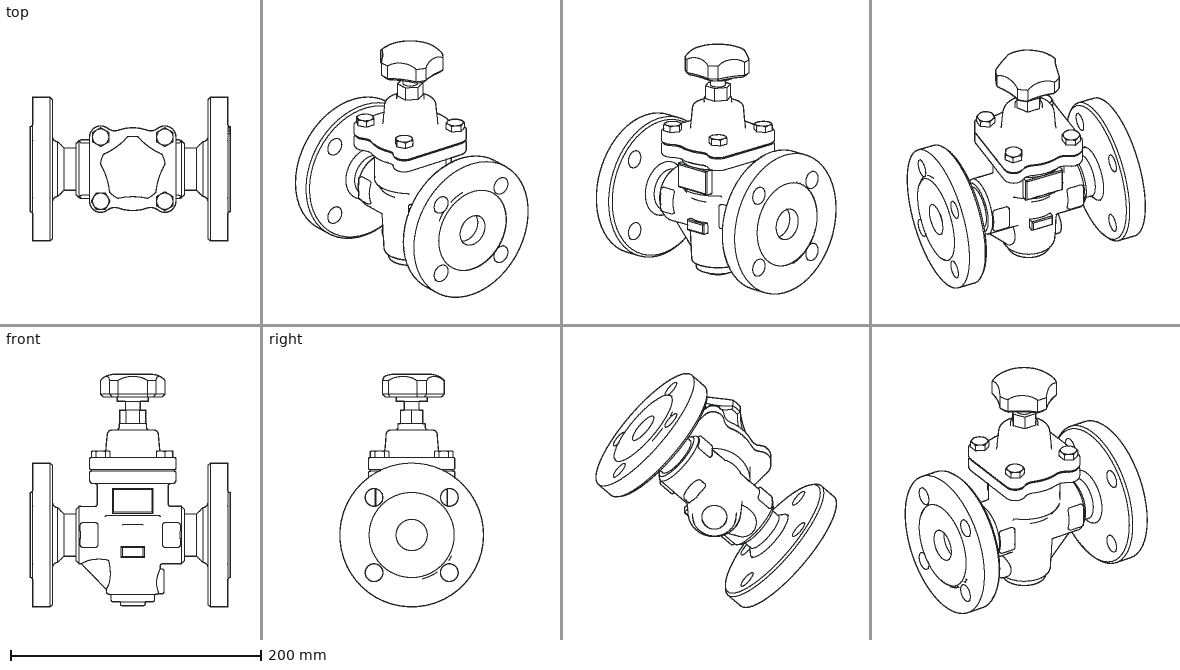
import cadquery as cq
import math

face_to_face = 160.0
flange_dia = 115.0
flange_thickness = 16.0
flange_chamfer = 2.0
raised_face_dia = 68.0
raised_face_height = 2.0
bolt_circle_dia = 85.0
flange_hole_dia = 14.0
flange_hole_count = 4
bore_dia = 25.0
bore_depth = 9.5

neck_dia = 34.0
hub_fillet = 4.0
hub_cone_length = 5.0
body_dia = 46.0
body_length = 87.0
body_chamfer = 2.7

axis_x = 2.0
level_tolerance = 0.1

column_dia = 57.0
column_cone_top = 15.4
column_cone_bottom = 8.3
column_blend = 1.5
casting_fillet = 1.5

barrel_dia = 42.0
barrel_top_dia = 46.6
barrel_bottom = -47.5
barrel_edge_fillet = 2.5
plug_dia = 35.0
plug_bottom = -53.5
plug_fillet = 2.0
plug_root_fillet = 0.9
plug_tip_dia = 20.0
plug_tip_bottom = -56.5
plug_tip_fillet = 1.4

drain_boss_dia = 20.0
drain_boss_z = -37.0
drain_boss_end = 27.0
drain_boss_fillet = 1.5

strainer_dia = 25.0
strainer_start = (-31.5, -12.9)
strainer_end = (-10.0, -35.0)

bolt_offset = 25.6
corner_radius = 9.0
bulge_radius = 33.2
valley_radius = 9.5
lower_plate_bottom = 41.0
lower_plate_top = 51.1
upper_plate_bottom = 52.2
upper_plate_top = 62.0
gasket_inset = 1.5
plate_edge_fillet = 1.4
lower_plate_fillet = 3.0
bolt_head_flats = 13.0
bolt_head_top = 67.2
bolt_head_chamfer = 0.6

dome_base_dia = 44.0
dome_shoulder_dia = 40.4
dome_top = 84.0
dome_base_fillet = 2.0
dome_top_fillet = 4.0
collar_dia = 22.0
collar_top = 89.0
collar_base_fillet = 2.0
collar_top_fillet = 0.5
nut_flats = 18.0
nut_top = 99.7
stem_dia = 12.0
wheel_hub_dia = 25.0
wheel_hub_bottom = 106.7
wheel_bottom = 110.2
wheel_top = 128.5
wheel_radius = 26.2
wheel_flat_radius = 14.8
wheel_crown_drop = 5.2
wheel_chamfer = 2.3
wheel_lobes = 5
wheel_lobe_half_angle = 9.0
wheel_valley_radius = 22.0

pad_root = 12.0
side_pad_face = 23.5
side_pad_x = 32.9
side_pad_length = 14.2
side_pad_height = 19.7
side_pad_corner = 2.0
side_pad_fillet = 1.0
name_pad_face = 29.5
name_pad_size = (32.6, 19.8)
name_pad_z = 27.2
name_pad_chamfer = 0.9
tag_pad_face = 26.0
tag_pad_size = (18.4, 8.7)
tag_pad_z = -13.6
tag_pad_chamfer = 0.9


def upright(radius, bottom, top):
    """Cylinder on the upright axis between two heights."""
    return cq.Workplane("XY", origin=(axis_x, 0, bottom)).circle(radius).extrude(top - bottom)


def fillet_root(body, height, radius):
    """Fillet the smallest circular edge lying at the given height."""
    level = cq.selectors.BoxSelector(
        (-face_to_face, -face_to_face, height - level_tolerance),
        (face_to_face, face_to_face, height + level_tolerance),
    )
    return body.edges(level).edges(cq.selectors.RadiusNthSelector(0)).fillet(radius)


def end_flange():
    """Left flange with its raised face, hub and neck, revolved about X."""
    face = -face_to_face / 2
    front = face + raised_face_height
    back = front + flange_thickness
    hub_end = back + hub_fillet
    neck_start = hub_end + hub_cone_length
    neck_r = neck_dia / 2
    hub_r = neck_r + hub_cone_length
    raised_r = raised_face_dia / 2
    flange_r = flange_dia / 2
    diagonal = math.sqrt(0.5)
    raised_mid = (face + raised_face_height * diagonal, raised_r + raised_face_height * (1 - diagonal))
    hub_mid = (hub_end - hub_fillet * diagonal, hub_r + hub_fillet * (1 - diagonal))
    profile = (
        cq.Workplane("XY")
        .moveTo(face, 0)
        .lineTo(face, raised_r)
        .threePointArc(raised_mid, (front, raised_r + raised_face_height))
        .lineTo(front, flange_r)
        .lineTo(back - flange_chamfer, flange_r)
        .lineTo(back, flange_r - flange_chamfer)
        .lineTo(back, hub_r + hub_fillet)
        .threePointArc(hub_mid, (hub_end, hub_r))
        .lineTo(neck_start, neck_r)
        .lineTo(-body_length / 2 + body_chamfer, neck_r)
        .lineTo(-body_length / 2 + body_chamfer, 0)
        .close()
    )
    flange = profile.revolve(360, (0, 0, 0), (1, 0, 0))
    bore = cq.Workplane("YZ", origin=(face, 0, 0)).circle(bore_dia / 2).extrude(bore_depth)
    holes = (
        cq.Workplane("YZ", origin=(face, 0, 0))
        .polarArray(bolt_circle_dia / 2, 45, 360, flange_hole_count)
        .circle(flange_hole_dia / 2)
        .extrude(back - face)
    )
    return flange.cut(bore).cut(holes)


def pipe_body():
    """Thick middle of the pipe run."""
    body = cq.Workplane("YZ", origin=(-body_length / 2, 0, 0)).circle(body_dia / 2).extrude(body_length)
    return body.faces("<X or >X").chamfer(body_chamfer)


def column():
    """Round column above the pipe, coned in at its foot to the barrel."""
    radius = column_dia / 2
    top = lower_plate_bottom
    diagonal = math.sqrt(0.5)
    blend_mid = (radius + column_blend * (1 - diagonal), top - column_blend * (1 - diagonal))
    profile = (
        cq.Workplane("XZ", origin=(axis_x, 0, 0))
        .moveTo(0, 0)
        .lineTo(barrel_top_dia / 2, 0)
        .lineTo(barrel_top_dia / 2, column_cone_bottom)
        .lineTo(radius, column_cone_top)
        .lineTo(radius, top - column_blend)
        .threePointArc(blend_mid, (radius + column_blend, top))
        .lineTo(0, top)
        .close()
    )
    return profile.revolve(360, (0, 0, 0), (0, 1, 0))


def barrel():
    """Tapered barrel below the pipe, closed by a stepped plug."""
    shell = (
        cq.Workplane("XZ", origin=(axis_x, 0, 0))
        .moveTo(0, 0)
        .lineTo(barrel_top_dia / 2, 0)
        .lineTo(barrel_dia / 2, barrel_bottom)
        .lineTo(0, barrel_bottom)
        .close()
        .revolve(360, (0, 0, 0), (0, 1, 0))
        .faces("<Z").edges().fillet(barrel_edge_fillet)
    )
    plug = upright(plug_dia / 2, plug_bottom, barrel_bottom).faces("<Z").edges().fillet(plug_fillet)
    tip = upright(plug_tip_dia / 2, plug_tip_bottom, plug_bottom).faces("<Z").edges().fillet(plug_tip_fillet)
    return fillet_root(shell.union(plug), barrel_bottom, plug_root_fillet).union(tip)


def drain_boss():
    """Short boss on the +X side of the barrel."""
    boss = cq.Workplane("YZ", origin=(axis_x, 0, drain_boss_z)).circle(drain_boss_dia / 2)
    return boss.extrude(drain_boss_end - axis_x).faces(">X").edges().fillet(drain_boss_fillet)


def strainer_leg():
    """Slanted cylinder from the pipe down to the foot of the barrel."""
    run = strainer_end[0] - strainer_start[0]
    drop = strainer_end[1] - strainer_start[1]
    plane = cq.Plane(origin=(strainer_start[0], 0, strainer_start[1]), xDir=(0, 1, 0), normal=(run, 0, drop))
    return cq.Workplane(plane).circle(strainer_dia / 2).extrude(math.hypot(run, drop))


def plate(bottom, top):
    """Square plate with round bolt corners and bulged front and back sides."""
    valley_reach = corner_radius + valley_radius
    bulge_reach = bulge_radius + valley_radius
    bolt_reach = math.hypot(bolt_offset, bolt_offset)
    spread = math.acos((bulge_reach**2 + bolt_reach**2 - valley_reach**2) / (2 * bulge_reach * bolt_reach))
    valley_angle = math.pi / 4 + spread
    valley_x = bulge_reach * math.cos(valley_angle)
    valley_y = bulge_reach * math.sin(valley_angle)
    bulge_x = valley_x * bulge_radius / bulge_reach
    bulge_y = valley_y * bulge_radius / bulge_reach
    corner_x = bolt_offset + (valley_x - bolt_offset) * corner_radius / valley_reach
    corner_y = bolt_offset + (valley_y - bolt_offset) * corner_radius / valley_reach
    side = bolt_offset + corner_radius
    diagonal = bolt_offset + corner_radius * math.sqrt(0.5)
    valley_low = valley_y - valley_radius
    return (
        cq.Workplane("XY", origin=(axis_x, 0, bottom))
        .moveTo(side, -bolt_offset)
        .lineTo(side, bolt_offset)
        .threePointArc((diagonal, diagonal), (corner_x, corner_y))
        .threePointArc((valley_x, valley_low), (bulge_x, bulge_y))
        .threePointArc((0, bulge_radius), (-bulge_x, bulge_y))
        .threePointArc((-valley_x, valley_low), (-corner_x, corner_y))
        .threePointArc((-diagonal, diagonal), (-side, bolt_offset))
        .lineTo(-side, -bolt_offset)
        .threePointArc((-diagonal, -diagonal), (-corner_x, -corner_y))
        .threePointArc((-valley_x, -valley_low), (-bulge_x, -bulge_y))
        .threePointArc((0, -bulge_radius), (bulge_x, -bulge_y))
        .threePointArc((valley_x, -valley_low), (corner_x, -corner_y))
        .threePointArc((diagonal, -diagonal), (side, -bolt_offset))
        .close()
        .extrude(top - bottom)
    )


def hex_prism(flats, bottom, top, x, y, turn):
    """Hexagonal prism with one corner at the given angle from +X."""
    corners = flats / math.cos(math.pi / 6)
    prism = cq.Workplane("XY").polygon(6, corners).extrude(top - bottom)
    return prism.rotate((0, 0, 0), (0, 0, 1), turn).translate((x, y, bottom))


def bolt_head(x, y, turn):
    """Hexagonal bolt head with its top corners turned off."""
    prism = hex_prism(bolt_head_flats, upper_plate_top, bolt_head_top, x, y, turn)
    corner_r = bolt_head_flats / 2 / math.cos(math.pi / 6)
    turned = (
        cq.Workplane("XY", origin=(x, y, upper_plate_top))
        .circle(corner_r)
        .extrude(bolt_head_top - upper_plate_top)
        .faces(">Z").chamfer(bolt_head_chamfer, corner_r - bolt_head_flats / 2)
    )
    return prism.intersect(turned)


def bonnet_joint():
    """Two bolted plates with a recessed gasket between them and four bolts."""
    lower = plate(lower_plate_bottom, lower_plate_top)
    lower = lower.faces(">Z").edges().fillet(plate_edge_fillet)
    lower = lower.faces("<Z").edges().fillet(lower_plate_fillet)
    upper = plate(upper_plate_bottom, upper_plate_top)
    upper = upper.faces("<Z or >Z").edges().fillet(plate_edge_fillet)
    gasket_profile = plate(lower_plate_top, upper_plate_bottom).faces("<Z").wires().toPending()
    gasket = gasket_profile.offset2D(-gasket_inset).extrude(upper_plate_bottom - lower_plate_top, combine=False)
    joint = lower.union(gasket).union(upper)
    for x_side in (-1, 1):
        for y_side in (-1, 1):
            turn = 0 if (x_side, y_side) == (-1, -1) else 30
            joint = joint.union(bolt_head(axis_x + x_side * bolt_offset, y_side * bolt_offset, turn))
    return joint


def bonnet():
    """Tapered dome with its collar, gland nut and stem."""
    base_r = dome_base_dia / 2
    blend_inset = dome_base_fillet * (1 - math.sqrt(0.5))
    dome = (
        cq.Workplane("XZ", origin=(axis_x, 0, 0))
        .moveTo(0, upper_plate_top)
        .lineTo(base_r + dome_base_fillet, upper_plate_top)
        .threePointArc(
            (base_r + blend_inset, upper_plate_top + blend_inset),
            (base_r, upper_plate_top + dome_base_fillet),
        )
        .lineTo(dome_shoulder_dia / 2, dome_top)
        .lineTo(0, dome_top)
        .close()
        .revolve(360, (0, 0, 0), (0, 1, 0))
        .faces(">Z").edges().fillet(dome_top_fillet)
    )
    collar = upright(collar_dia / 2, dome_top, collar_top).faces(">Z").edges().fillet(collar_top_fillet)
    dome = fillet_root(dome.union(collar), dome_top, collar_base_fillet)
    nut = hex_prism(nut_flats, collar_top, nut_top, axis_x, 0, 0)
    stem = upright(stem_dia / 2, nut_top, wheel_hub_bottom)
    return dome.union(nut).union(stem)


def handwheel():
    """Crowned five-lobed handwheel on a short hub."""
    rim_top = wheel_top - wheel_crown_drop
    crown_run = wheel_radius - wheel_flat_radius
    crown_radius = (crown_run**2 + wheel_crown_drop**2) / (2 * wheel_crown_drop)
    half_angle = math.asin(crown_run / crown_radius) / 2
    crown_mid = (
        wheel_flat_radius + crown_radius * math.sin(half_angle),
        wheel_top - crown_radius * (1 - math.cos(half_angle)),
    )
    blank = (
        cq.Workplane("XZ", origin=(axis_x, 0, 0))
        .moveTo(0, wheel_bottom)
        .lineTo(wheel_radius, wheel_bottom)
        .lineTo(wheel_radius, rim_top)
        .threePointArc(crown_mid, (wheel_flat_radius, wheel_top))
        .lineTo(0, wheel_top)
        .close()
        .revolve(360, (0, 0, 0), (0, 1, 0))
    )
    pitch = 360 / wheel_lobes
    edge_angle = math.radians(pitch / 2 - wheel_lobe_half_angle)
    edge_x = wheel_radius * math.sin(edge_angle)
    edge_y = wheel_radius * math.cos(edge_angle)
    depth = edge_y - wheel_valley_radius
    scoop_radius = (edge_x**2 + depth**2) / (2 * depth)
    scoop = (
        cq.Workplane("XY", origin=(0, -wheel_valley_radius - scoop_radius, wheel_bottom))
        .circle(scoop_radius)
        .extrude(wheel_top - wheel_bottom)
    )
    for lobe in range(wheel_lobes):
        cutter = scoop.rotate((0, 0, 0), (0, 0, 1), lobe * pitch).translate((axis_x, 0, 0))
        blank = blank.cut(cutter)
    blank = blank.faces("<Z").edges().chamfer(wheel_chamfer)
    return blank.union(upright(wheel_hub_dia / 2, wheel_hub_bottom, wheel_bottom))


def front_pad(size, x, z, face):
    """Block rooted inside the casting and ending in a flat face on the -Y side."""
    return cq.Workplane("XZ", origin=(x, -pad_root, z)).rect(*size).extrude(face - pad_root)


def side_pads():
    """Rounded wrench pads on both sides of the pipe body, at both ends."""
    pads = cq.Workplane("XY")
    for x in (-side_pad_x, side_pad_x):
        pad = (
            front_pad((side_pad_length, side_pad_height), x, 0, side_pad_face)
            .edges("|Y").fillet(side_pad_corner)
            .faces("<Y").edges().fillet(side_pad_fillet)
        )
        pads = pads.union(pad).union(pad.mirror("XZ"))
    return pads


def marking_pads():
    """Name-plate pad on the column and a smaller one on the barrel."""
    name_pad = front_pad(name_pad_size, axis_x, name_pad_z, name_pad_face)
    tag_pad = front_pad(tag_pad_size, axis_x, tag_pad_z, tag_pad_face)
    name_pad = name_pad.faces("<Y").chamfer(name_pad_chamfer)
    return name_pad.union(tag_pad.faces("<Y").chamfer(tag_pad_chamfer))


def junctions(bottom, top):
    """Selector for casting edges whose centres lie between two heights."""
    return cq.selectors.BoxSelector((-body_length, -body_length, bottom), (body_length, body_length, top))


def casting():
    """Column, barrel, drain boss, pipe body and strainer leg, filleted where the column meets the pipe."""
    core = column().union(barrel()).union(drain_boss()).union(pipe_body()).union(strainer_leg())
    column_joint = junctions(column_cone_bottom / 2, lower_plate_bottom)
    core = core.edges("%BSPLINE").edges(column_joint).fillet(casting_fillet)
    return core.union(side_pads()).union(marking_pads())


left_end = end_flange()
result = casting().union(left_end).union(left_end.mirror("YZ"))
result = result.union(bonnet_joint()).union(bonnet()).union(handwheel())